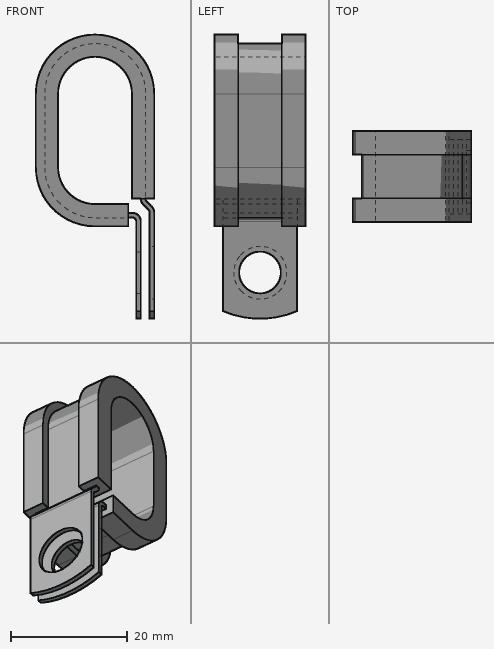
import cadquery as cq
import math

loop_width = 20.45
outer_radius = loop_width / 2
cushion_wall = 3.85
cushion_width = 15.75
total_height = 49.0
lower_arc_bottom = 15.95
right_leg_end = 20.75
bottom_leg_end = 5.75
groove_width = 7.55

strap_thickness = 0.85
strap_width = 12.8
bend_radius = 0.65
jog_angle = math.radians(45)
tab_gap = 1.45
left_hole_diameter = 7.15
right_hole_diameter = 9.1
hole_height = 8.0
tab_end_rise = 1.3

upper_center = total_height - outer_radius
lower_center = lower_arc_bottom + outer_radius
strap_inset = (cushion_wall - strap_thickness) / 2
strap_outer_radius = outer_radius - strap_inset
strap_inner_radius = strap_outer_radius - strap_thickness
bend_outer_radius = bend_radius + strap_thickness


def extrude_profile(profile, width):
    """Extrude a closed XZ profile symmetrically about Y = 0."""
    return profile.close().extrude(width / 2, both=True)


def loop_band(outer, inner, width):
    """Open loop between two radii, with a vertical and a horizontal leg."""
    profile = (
        cq.Workplane("XZ")
        .moveTo(outer, right_leg_end)
        .lineTo(outer, upper_center)
        .threePointArc((0, upper_center + outer), (-outer, upper_center))
        .lineTo(-outer, lower_center)
        .radiusArc((0, lower_center - outer), -outer)
        .lineTo(bottom_leg_end, lower_center - outer)
        .lineTo(bottom_leg_end, lower_center - inner)
        .lineTo(0, lower_center - inner)
        .radiusArc((-inner, lower_center), inner)
        .lineTo(-inner, upper_center)
        .threePointArc((0, upper_center + inner), (inner, upper_center))
        .lineTo(inner, right_leg_end)
    )
    return extrude_profile(profile, width)


def right_tab():
    """Tab that jogs outward below the vertical leg, flush with the cushion."""
    sin_jog = math.sin(jog_angle)
    cos_jog = math.cos(jog_angle)
    small_run = bend_radius * (1 - cos_jog)
    large_run = bend_outer_radius * (1 - cos_jog)
    small_drop = bend_radius * sin_jog
    large_drop = bend_outer_radius * sin_jog
    slope_drop = (strap_inset - small_run - large_run) / math.tan(jog_angle)
    jog_end = right_leg_end - small_drop - large_drop - slope_drop
    tab_inner = outer_radius - strap_thickness
    profile = (
        cq.Workplane("XZ")
        .moveTo(strap_outer_radius, right_leg_end)
        .radiusArc((strap_outer_radius + small_run, right_leg_end - small_drop), -bend_radius)
        .lineTo(outer_radius - large_run, jog_end + large_drop)
        .radiusArc((outer_radius, jog_end), bend_outer_radius)
        .lineTo(outer_radius, 0)
        .lineTo(tab_inner, 0)
        .lineTo(tab_inner, jog_end)
        .radiusArc((tab_inner - small_run, jog_end + small_drop), -bend_radius)
        .lineTo(strap_inner_radius + large_run, right_leg_end - large_drop)
        .radiusArc((strap_inner_radius, right_leg_end), bend_outer_radius)
    )
    return extrude_profile(profile, strap_width)


def left_tab():
    """Tab that turns down from the end of the horizontal leg."""
    tab_outer = outer_radius - strap_thickness - tab_gap
    tab_inner = tab_outer - strap_thickness
    strap_top = lower_center - strap_inner_radius
    strap_bottom = lower_center - strap_outer_radius
    bend_end = strap_bottom - bend_radius
    profile = (
        cq.Workplane("XZ")
        .moveTo(bottom_leg_end, strap_top)
        .lineTo(tab_outer - bend_outer_radius, strap_top)
        .radiusArc((tab_outer, bend_end), bend_outer_radius)
        .lineTo(tab_outer, 0)
        .lineTo(tab_inner, 0)
        .lineTo(tab_inner, bend_end)
        .radiusArc((tab_inner - bend_radius, strap_bottom), -bend_radius)
        .lineTo(bottom_leg_end, strap_bottom)
    )
    return extrude_profile(profile, strap_width)


def rounded_tab_envelope():
    """Block along X with an arc-shaped bottom, kept in common with the tabs."""
    half_width = strap_width / 2
    return (
        cq.Workplane("YZ")
        .moveTo(-half_width, tab_end_rise)
        .threePointArc((0, 0), (half_width, tab_end_rise))
        .lineTo(half_width, total_height)
        .lineTo(-half_width, total_height)
        .close()
        .extrude(outer_radius)
    )


def bolt_hole(diameter):
    """Cylinder along X, long enough to pass through either tab."""
    return (
        cq.Workplane("YZ")
        .center(0, hole_height)
        .circle(diameter / 2)
        .extrude(outer_radius)
    )


cushion = loop_band(outer_radius, outer_radius - cushion_wall, cushion_width)
groove = loop_band(outer_radius, strap_outer_radius, groove_width)
strap_loop = loop_band(strap_outer_radius, strap_inner_radius, strap_width)
drilled_right_tab = right_tab().cut(bolt_hole(right_hole_diameter))
drilled_left_tab = left_tab().cut(bolt_hole(left_hole_diameter))
tabs = drilled_right_tab.union(drilled_left_tab).intersect(rounded_tab_envelope())

result = cushion.cut(groove).union(strap_loop).union(tabs)